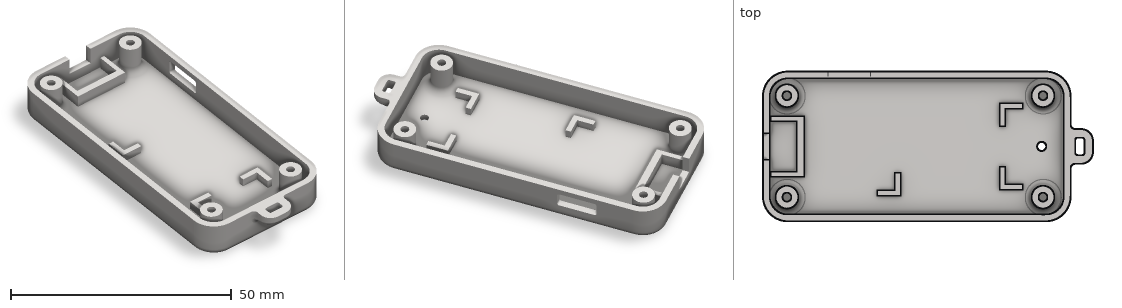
import cadquery as cq
import math

total_length = 74.9
body_length = 69.8
body_width = 34.0
height = 8.5
corner_radius = 5.7
wall = 1.6
floor = 1.6
bottom_fillet = 1.6

half_width = body_width / 2
left_end = -total_length / 2
right_end = left_end + body_length
body_center_x = (left_end + right_end) / 2

boss_diameter = 5.2
boss_hole_diameter = 2.0
boss_base_fillet = 1.5
boss_inset = 5.5
boss_spacing_x = 58.05
boss_spacing_y = 23.0

rib_height = 2.0
rib_thickness = 1.3
rib_arm = 5.25
right_rib_x = 16.25
right_rib_y = 9.8
middle_rib_x = -6.2
middle_rib_y = -11.2

fence_width = 13.7
fence_reach = 9.35
fence_back_thickness = 1.65
fence_side_thickness = 1.1
fence_gap = 0.2
fence_height = 3.0

notch_width = 6.1
notch_depth = 4.2
window_start = 14.75
window_length = 9.6
window_bottom = 3.5
window_height = 3.5
opening_corner_radius = 0.45
floor_hole_diameter = 2.0
floor_hole_inset = 6.6

tab_width = 7.95
tab_corner_radius = 2.8
tab_tip_bulge = 0.3
tab_root_radius = 1.0
tab_tip_thickness = 2.0
tab_root_thickness = 3.1
tab_overlap = wall / 2
tab_edge_fillet = 0.8
tab_slot_length = 2.0
tab_slot_width = 3.9
tab_slot_inset = 2.0

selection_margin = 0.1


def block(x0, x1, y0, y1, z0, z1):
    """Axis-aligned box between two corners."""
    return cq.Workplane("XY").box(x1 - x0, y1 - y0, z1 - z0, centered=False).translate((x0, y0, z0))


def rounded_block(inset, z0):
    """Tray outline pulled in by an inset, from z0 up to the rim."""
    return (
        cq.Workplane("XY", origin=(body_center_x, 0, z0))
        .rect(body_length - 2 * inset, body_width - 2 * inset)
        .extrude(height - z0)
        .edges("|Z")
        .fillet(corner_radius - inset)
    )


def make_boss(x, y):
    """Hollow post whose foot flares out onto the floor."""
    radius = boss_diameter / 2
    hole_radius = boss_hole_diameter / 2
    diagonal = boss_base_fillet * (1 - math.sqrt(0.5))
    return (
        cq.Workplane("XZ")
        .moveTo(hole_radius, floor)
        .lineTo(radius + boss_base_fillet, floor)
        .threePointArc(
            (radius + diagonal, floor + diagonal),
            (radius, floor + boss_base_fillet),
        )
        .lineTo(radius, height)
        .lineTo(hole_radius, height)
        .close()
        .revolve(360, (0, 0, 0), (0, 1, 0))
        .translate((x, y, 0))
    )


def make_corner_rib(x, y, x_dir, y_dir):
    """L-shaped rib with its outer corner at (x, y) and arms along x_dir and y_dir."""
    return (
        cq.Workplane("XY", origin=(x, y, floor))
        .lineTo(x_dir * rib_arm, 0)
        .lineTo(x_dir * rib_arm, y_dir * rib_thickness)
        .lineTo(x_dir * rib_thickness, y_dir * rib_thickness)
        .lineTo(x_dir * rib_thickness, y_dir * rib_arm)
        .lineTo(0, y_dir * rib_arm)
        .close()
        .extrude(rib_height)
    )


def make_fence():
    """Three-sided fence open toward the notched end wall."""
    start = left_end + wall + fence_gap
    end = left_end + fence_reach
    half = fence_width / 2
    inner_half = half - fence_side_thickness
    top = floor + fence_height
    outer = block(start, end, -half, half, floor, top)
    return outer.cut(block(start, end - fence_back_thickness, -inner_half, inner_half, floor, top))


def make_tab():
    """Lanyard tab with a rounded tip and a sloping underside that has rounded edges."""
    tip = total_length / 2
    root = right_end - tab_overlap
    slope = (tab_root_thickness - tab_tip_thickness) / (tip - right_end)
    overlap_thickness = tab_root_thickness + slope * tab_overlap
    half = tab_width / 2
    plan = (
        cq.Workplane("XY")
        .moveTo(root, -half)
        .lineTo(tip - tab_tip_bulge, -half)
        .threePointArc((tip, 0), (tip - tab_tip_bulge, half))
        .lineTo(root, half)
        .close()
        .extrude(height)
        .edges("|Z and (not <X)")
        .fillet(tab_corner_radius)
    )
    wedge = (
        cq.Workplane("XZ")
        .moveTo(root, height)
        .lineTo(tip, height)
        .lineTo(tip, height - tab_tip_thickness)
        .lineTo(root, height - overlap_thickness)
        .close()
        .extrude(body_width / 2, both=True)
    )
    tab = plan.intersect(wedge)
    return tab.faces("<Z").edges("not <X").fillet(tab_edge_fillet)


def add_tab(body):
    """Join the tab to the end wall, flare its root and cut the cord slot."""
    joined = body.union(make_tab())
    root_zone = cq.selectors.BoxSelector(
        (right_end - selection_margin, -tab_width, 2 * bottom_fillet),
        (right_end + selection_margin, tab_width, height - selection_margin),
    )
    joined = joined.edges(root_zone).fillet(tab_root_radius)
    slot_end = total_length / 2 - tab_slot_inset
    half_slot = tab_slot_width / 2
    slot = block(slot_end - tab_slot_length, slot_end, -half_slot, half_slot, 0, height)
    return joined.cut(slot.edges("|Z").fillet(opening_corner_radius))


outer_body = rounded_block(0, 0).faces("<Z").edges().fillet(bottom_fillet)
tray = add_tab(outer_body).cut(rounded_block(wall, floor))

boss_left_x = left_end + boss_inset
for boss_x in (boss_left_x, boss_left_x + boss_spacing_x):
    for boss_y in (-boss_spacing_y / 2, boss_spacing_y / 2):
        tray = tray.union(make_boss(boss_x, boss_y).intersect(outer_body))

tray = tray.union(make_corner_rib(right_rib_x, right_rib_y, 1, -1))
tray = tray.union(make_corner_rib(right_rib_x, -right_rib_y, 1, 1))
tray = tray.union(make_corner_rib(middle_rib_x, middle_rib_y, -1, 1))
tray = tray.union(make_fence())

notch = block(left_end, left_end + wall, -notch_width / 2, notch_width / 2, height - notch_depth, height)
window_x = left_end + window_start
window = block(
    window_x, window_x + window_length,
    half_width - wall, half_width,
    window_bottom, window_bottom + window_height,
).edges("|Y").fillet(opening_corner_radius)
floor_hole = (
    cq.Workplane("XY", origin=(right_end - floor_hole_inset, 0, 0))
    .circle(floor_hole_diameter / 2)
    .extrude(floor)
)
result = tray.cut(notch).cut(window).cut(floor_hole)